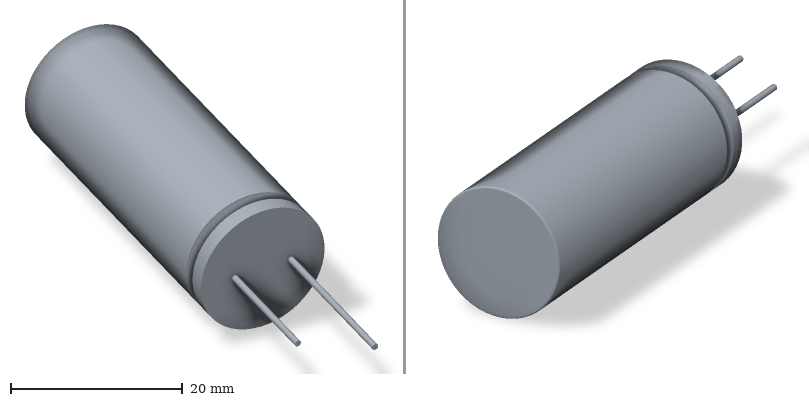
import cadquery as cq

can_diameter = 16.5
can_length = 42.01
closed_end_fillet = 0.25

groove_radius = 0.75
lip_length = 2.0

lead_diameter = 0.8
lead_pitch = 7.5
long_lead_length = 20.0
short_lead_length = 15.0

can_radius = can_diameter / 2
groove_center_x = -(lip_length + groove_radius)


def make_can():
    """Closed cylinder with a rounded closed end and the crimp groove cut into it."""
    can = cq.Workplane("YZ").workplane(offset=-can_length).circle(can_radius).extrude(can_length)
    can = can.faces("<X").edges().fillet(closed_end_fillet)
    groove = (
        cq.Workplane("XY")
        .center(groove_center_x, can_radius)
        .circle(groove_radius)
        .revolve(360, (0, -can_radius), (1, -can_radius))
    )
    return can.cut(groove)


def make_lead(y_position, length):
    """Straight round lead that starts on the end face of the can."""
    return cq.Workplane("YZ").center(y_position, 0).circle(lead_diameter / 2).extrude(length)


can = make_can()

lead_layout = [
    (lead_pitch / 2, long_lead_length),
    (-lead_pitch / 2, short_lead_length),
]
leads = [make_lead(y_position, length) for y_position, length in lead_layout]

result = cq.Compound.makeCompound([can.val(), *[lead.val() for lead in leads]])